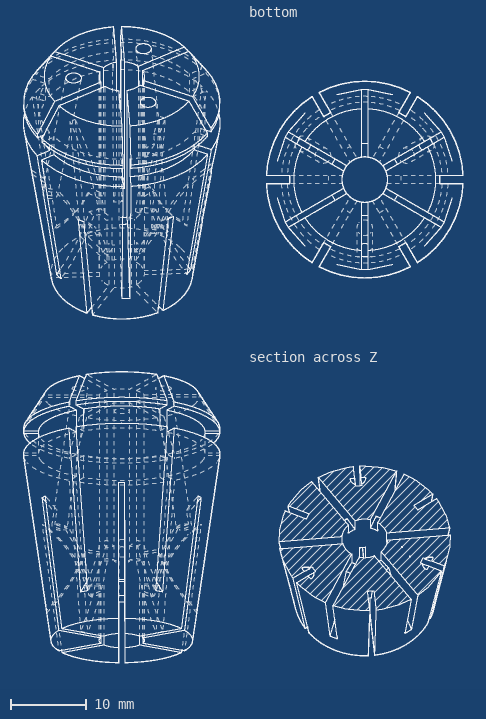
import cadquery as cq
import math

height = 34.0
bore_radius = 3.0
body_diameter = 26.0
body_height = 25.9
body_taper = math.radians(8)
neck_radius = 11.0
head_base = 28.97
head_radius = 12.95
rim_thickness = 0.58
face_radius = 10.25

slots_per_end = 6
front_slot_width = 1.05
front_slot_outer_z = 4.0
front_slot_inner_z = 12.48
tail_slot_width = 0.8
tail_slot_outer_z = 18.02
tail_slot_inner_z = 6.95
saw_radius = 22.1
saw_end_radius = 4.75
web_slope = math.radians(10)
slot_reach = body_diameter / 2 + 1.7

jet_count = 3
jet_start_angle = 90
jet_radius = 1.02
jet_mouth_distance = 6.35
jet_tilt_degrees = 9
jet_length = 20.05
jet_overrun = 1.7


def body_radius(z):
    """Radius of the tapered body at height z."""
    return body_diameter / 2 - (body_height - z) * math.tan(body_taper)


def turned_blank():
    return (
        cq.Workplane("XZ")
        .moveTo(bore_radius, 0)
        .lineTo(body_radius(0), 0)
        .lineTo(body_radius(body_height), body_height)
        .lineTo(neck_radius, body_height)
        .lineTo(neck_radius, head_base)
        .lineTo(head_radius, head_base)
        .lineTo(head_radius, head_base + rim_thickness)
        .lineTo(face_radius, height)
        .lineTo(bore_radius, height)
        .close()
        .revolve(360, (0, 0, 0), (0, 1, 0))
    )


def saw_slot(open_z, outer_z, inner_z, width):
    """Radial slot along +X, open at open_z; its blind end is a saw arc and a sloped inner web."""
    open_direction = math.copysign(1, open_z - outer_z)
    web_offset = saw_end_radius * math.tan(web_slope)
    outer_radius = body_radius(outer_z)
    half_chord = math.hypot(outer_radius - saw_end_radius, outer_z - inner_z) / 2
    sagitta = saw_radius - math.sqrt(saw_radius**2 - half_chord**2)
    return (
        cq.Workplane("XZ")
        .moveTo(0, open_z)
        .lineTo(0, inner_z - open_direction * web_offset)
        .lineTo(saw_end_radius, inner_z)
        .sagittaArc((outer_radius, outer_z), -open_direction * sagitta)
        .lineTo(slot_reach, outer_z)
        .lineTo(slot_reach, open_z)
        .close()
        .extrude(width / 2, both=True)
    )


def coolant_jet():
    """Hole above the +X axis that leans outward on its way down from the front face."""
    return (
        cq.Workplane("XY")
        .workplane(offset=jet_overrun)
        .circle(jet_radius)
        .extrude(-(jet_length + jet_overrun))
        .rotate((0, 0, 0), (0, 1, 0), -jet_tilt_degrees)
        .translate((jet_mouth_distance, 0, height))
    )


def cut_around(part, cutter, count, start_angle):
    """Cut evenly spaced copies of the cutter around the Z axis."""
    for i in range(count):
        angle = start_angle + i * 360 / count
        part = part.cut(cutter.rotate((0, 0, 0), (0, 0, 1), angle))
    return part


front_slot = saw_slot(height, front_slot_outer_z, front_slot_inner_z, front_slot_width)
tail_slot = saw_slot(0, tail_slot_outer_z, tail_slot_inner_z, tail_slot_width)
half_pitch = 180 / slots_per_end

result = turned_blank()
result = cut_around(result, front_slot, slots_per_end, 0)
result = cut_around(result, tail_slot, slots_per_end, half_pitch)
result = cut_around(result, coolant_jet(), jet_count, jet_start_angle)